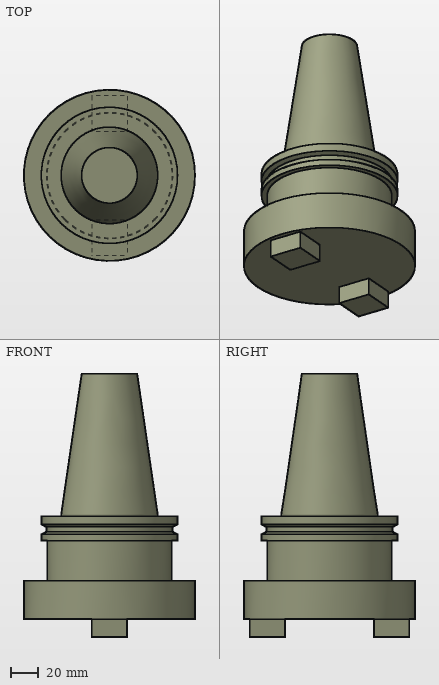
import cadquery as cq


key_width = 25.7
key_height = 13.0
key_outer_reach = 57.7
key_positions = (-1, 1)

face_flange_diameter = 123.825
face_flange_thickness = 27.9
neck_diameter = 90.2

gripper_diameter = 98.43
gripper_bottom_below_gauge = 19.05
gripper_top_below_gauge = 1.52
groove_diameter = 91.4
groove_floor_width = 3.5
groove_side_height = 1.8
groove_center_below_gauge = 11.0

overall_height = 190.5
taper_length = 101.6
taper_ratio = 7 / 24
gauge_diameter = 69.85
taper_end_diameter = gauge_diameter - taper_ratio * taper_length

face_flange_bottom = key_height
face_flange_top = face_flange_bottom + face_flange_thickness
gauge_line = overall_height - taper_length
gripper_bottom = gauge_line - gripper_bottom_below_gauge
gripper_top = gauge_line - gripper_top_below_gauge
groove_center = gauge_line - groove_center_below_gauge


def cylinder(diameter, bottom, top):
    return cq.Workplane("XY").workplane(offset=bottom).circle(diameter / 2).extrude(top - bottom)


def make_gripper_flange():
    """Disc whose rim carries a groove with sloped sides and a flat floor."""
    rim_radius = gripper_diameter / 2
    groove_radius = groove_diameter / 2
    floor_half_width = groove_floor_width / 2
    mouth_half_width = floor_half_width + groove_side_height
    half_section = (
        cq.Workplane("XZ")
        .moveTo(0, gripper_bottom)
        .lineTo(rim_radius, gripper_bottom)
        .lineTo(rim_radius, groove_center - mouth_half_width)
        .lineTo(groove_radius, groove_center - floor_half_width)
        .lineTo(groove_radius, groove_center + floor_half_width)
        .lineTo(rim_radius, groove_center + mouth_half_width)
        .lineTo(rim_radius, gripper_top)
        .lineTo(0, gripper_top)
        .close()
    )
    return half_section.revolve(360, (0, 0), (0, 1))


def make_taper_shank():
    """Cone above the gauge line, standing on a short straight collar."""
    half_section = (
        cq.Workplane("XZ")
        .moveTo(0, gripper_top)
        .lineTo(gauge_diameter / 2, gripper_top)
        .lineTo(gauge_diameter / 2, gauge_line)
        .lineTo(taper_end_diameter / 2, overall_height)
        .lineTo(0, overall_height)
        .close()
    )
    return half_section.revolve(360, (0, 0), (0, 1))


def make_drive_key(side):
    """Square block under the face flange, on the +Y or -Y side."""
    center_y = side * (key_outer_reach - key_width / 2)
    return cq.Workplane("XY").center(0, center_y).rect(key_width, key_width).extrude(key_height)


body = cylinder(face_flange_diameter, face_flange_bottom, face_flange_top)
body = body.union(cylinder(neck_diameter, face_flange_top, gripper_bottom))
body = body.union(make_gripper_flange())
body = body.union(make_taper_shank())
for side in key_positions:
    body = body.union(make_drive_key(side))

result = body